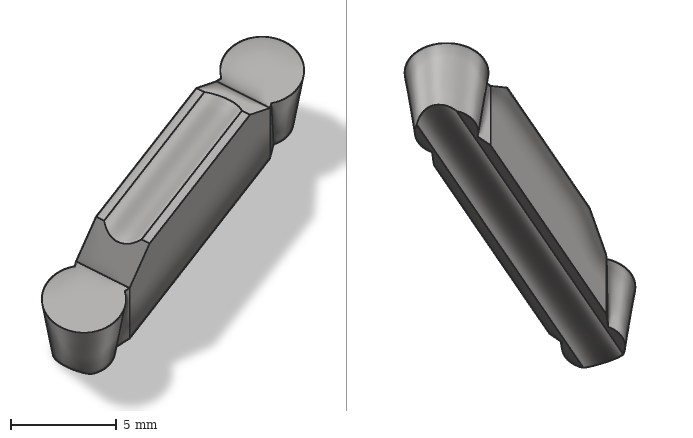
import cadquery as cq
import math

length = 20.0
height = 5.5

body_width = 3.0
body_length = 12.6
ramp_run = 1.8

head_radius = 2.0
head_height = 4.0
relief_angle = 7.0
head_center = length / 2 - head_radius
head_foot_radius = head_radius - head_height * math.tan(math.radians(relief_angle))

neck_angle = 20.0
neck_run = head_center - body_length / 2
neck_end_width = body_width - 2 * neck_run * math.tan(math.radians(neck_angle))

channel_radius = 1.6
channel_width = 2.1
channel_offset = math.sqrt(channel_radius**2 - (channel_width / 2) ** 2)


def make_body():
    """Central block with a ramp at each end of its top."""
    half_length = body_length / 2
    half_top = half_length - ramp_run
    profile = [
        (-half_length, 0),
        (half_length, 0),
        (half_length, head_height),
        (half_top, height),
        (-half_top, height),
        (-half_length, head_height),
    ]
    return cq.Workplane("YZ").polyline(profile).close().extrude(body_width / 2, both=True)


def make_end(side):
    """Tapered neck and conical head; side is +1 or -1 along Y."""
    neck_start = side * body_length / 2
    neck_end = side * head_center
    neck_outline = [
        (-body_width / 2, neck_start),
        (body_width / 2, neck_start),
        (neck_end_width / 2, neck_end),
        (-neck_end_width / 2, neck_end),
    ]
    neck = cq.Workplane("XY").polyline(neck_outline).close().extrude(head_height)
    cone = cq.Solid.makeCone(
        head_foot_radius, head_radius, head_height, pnt=cq.Vector(0, neck_end, 0)
    )
    return neck.union(cq.Workplane(obj=cone))


def make_channel(axis_height):
    """Round cutter running the full length at the given axis height."""
    return (
        cq.Workplane("XZ")
        .center(0, axis_height)
        .circle(channel_radius)
        .extrude(length / 2, both=True)
    )


result = make_body()
for side in (-1, 1):
    result = result.union(make_end(side))
for axis_height in (-channel_offset, height + channel_offset):
    result = result.cut(make_channel(axis_height))